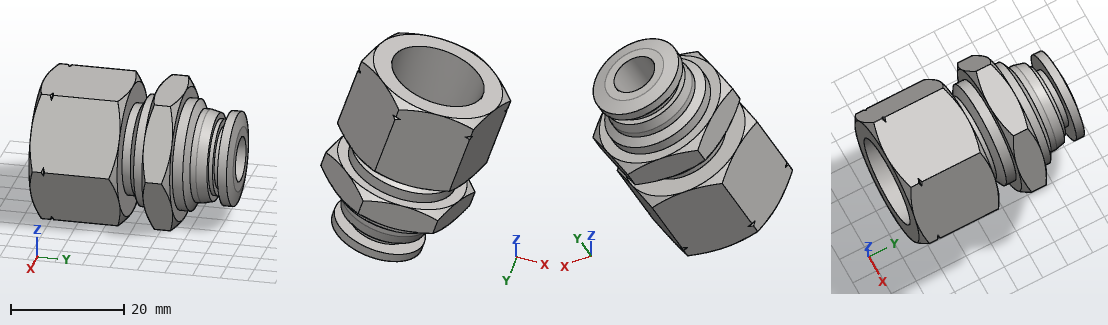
import cadquery as cq
import math

length = 35.6
body_hex_end = 16.02
neck_end = 17.5
rear_cone_end = 18.55
nut_start = 20.5
nut_end = 25.55
thread_end = 27.45
front_cone_end = 28.37
sleeve_end = 29.48
taper_end = 31.35
ring_end = 32.1
stem_end = 33.4
collar_edge = 35.03

neck_radius = 8.22
thread_radius = 10.0
sleeve_radius = 8.35
taper_radius = 7.9
ring_radius = 6.85
stem_radius = 5.6
collar_radius = 8.47
collar_face_radius = 5.8

across_flats = 24.0
corner_radius = across_flats / math.sqrt(3)
hex_chamfer_angle = math.radians(30)

groove_position = 3.0
groove_root_radius = 13.42
groove_half_width = 0.32

socket_mouth_radius = 8.58
socket_end_radius = 8.15
socket_depth = 14.25
tube_radius = 4.02


def revolve_profile(points):
    """Revolve a closed (radius, station) outline about the Y axis."""
    profile = cq.Workplane("XY").polyline(points).close()
    return profile.revolve(360, (0, 0, 0), (0, 1, 0))


def chamfered_hex(start, end):
    """Hexagonal prism with both ends turned to a cone meeting the flats."""
    prism = (
        cq.Workplane("XZ", origin=(0, start, 0))
        .polygon(6, 2 * corner_radius)
        .extrude(start - end)
    )
    face_radius = across_flats / 2
    chamfer_length = (corner_radius - face_radius) * math.tan(hex_chamfer_angle)
    envelope = revolve_profile([
        (0, start),
        (face_radius, start),
        (corner_radius, start + chamfer_length),
        (corner_radius, end - chamfer_length),
        (face_radius, end),
        (0, end),
    ])
    return prism.intersect(envelope)


def corner_groove():
    """V-section ring cut into the hexagon corners."""
    outer_radius = 2 * corner_radius - groove_root_radius
    outer_half_width = 2 * groove_half_width
    return revolve_profile([
        (groove_root_radius, groove_position),
        (outer_radius, groove_position - outer_half_width),
        (outer_radius, groove_position + outer_half_width),
    ])


turned_body = revolve_profile([
    (0, 0),
    (neck_radius, 0),
    (neck_radius, neck_end),
    (thread_radius, rear_cone_end),
    (thread_radius, thread_end),
    (sleeve_radius, front_cone_end),
    (sleeve_radius, sleeve_end),
    (taper_radius, taper_end),
    (ring_radius, taper_end),
    (ring_radius, ring_end),
    (stem_radius, ring_end),
    (stem_radius, stem_end),
    (collar_radius, stem_end),
    (collar_radius, collar_edge),
    (collar_face_radius, length),
    (0, length),
])

body_hex = chamfered_hex(0, body_hex_end).cut(corner_groove())
lock_nut = chamfered_hex(nut_start, nut_end)

bore = revolve_profile([
    (0, 0),
    (socket_mouth_radius, 0),
    (socket_end_radius, socket_depth),
    (tube_radius, socket_depth),
    (tube_radius, length),
    (0, length),
])

result = turned_body.union(body_hex).union(lock_nut).cut(bore)